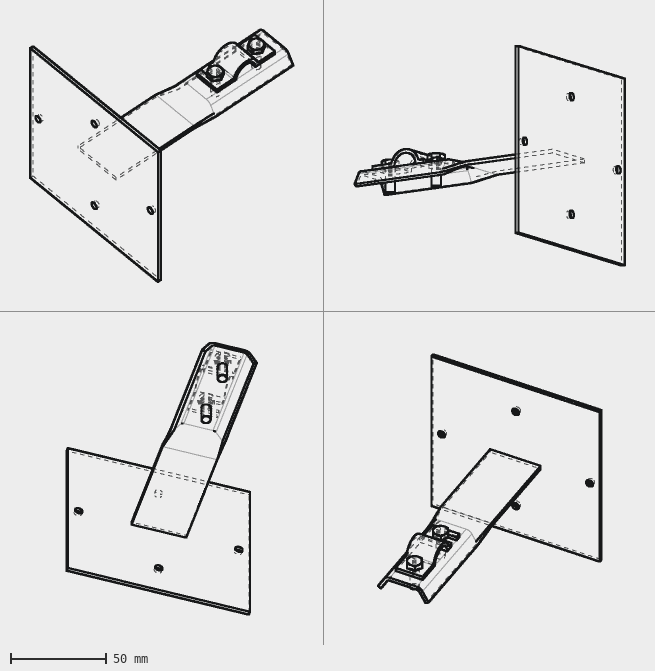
import cadquery as cq
import math

total_length = 127.0
sheet = 2.0
plate_side = 100.0

plate_hole_diameter = 4.0
side_hole_offset = 44.0
upper_hole_offset = 31.5

arm_width = 30.0
straight_length = 55.0
channel_top = 5.1
flat_width = 16.0
bend_angle = 59.5
bend_radius = 4.0

clamp_length = 41.0
clamp_centre_y = 100.0
bolt_spacing = 29.0
arch_inner_radius = 6.7
foot_fillet = 1.0
clamp_hole_diameter = 5.5

bolt_diameter = 5.0
bolt_tip_diameter = 4.6
bolt_bottom = -6.7
washer_face_diameter = 6.7
washer_face_height = 0.4
head_across_flats = 8.0
head_height = 3.0
head_chamfer_angle = 30.0

fuse_tolerance = 0.001

half_sheet = sheet / 2
half_width = arm_width / 2
half_flat = flat_width / 2
transition_start_y = sheet + straight_length
channel_start_y = total_length - straight_length
clamp_top = channel_top + sheet
bolt_places = [clamp_centre_y - bolt_spacing / 2, clamp_centre_y + bolt_spacing / 2]
slot_bolt_y = bolt_places[0]

bend = math.radians(bend_angle)
bend_centre_z = channel_top - bend_radius
bend_inner_radius = bend_radius - sheet
wall_top_x = half_flat + bend_radius * math.sin(bend)
wall_top_z = bend_centre_z + bend_radius * math.cos(bend)
lip_z = wall_top_z - (half_width - wall_top_x) * math.tan(bend)
lip_inner_x = half_width - sheet * math.sin(bend)
lip_inner_z = lip_z - sheet * math.cos(bend)


def bend_point(radius, angle):
    """Point (x, z) on the right-hand bend, at an angle from the vertical."""
    return half_flat + radius * math.sin(angle), bend_centre_z + radius * math.cos(angle)


def mirrored(point):
    return -point[0], point[1]


def make_plate():
    plate = cq.Workplane("XY").box(plate_side, sheet, plate_side).translate((0, half_sheet, 0))
    hole_places = [
        (side_hole_offset, 0),
        (-side_hole_offset, 0),
        (0, upper_hole_offset),
        (0, -upper_hole_offset),
    ]
    holes = (
        cq.Workplane("XZ")
        .pushPoints(hole_places)
        .circle(plate_hole_diameter / 2)
        .extrude(-sheet)
    )
    return plate.cut(holes)


def make_strip():
    strip = cq.Workplane("XY").box(arm_width, straight_length, sheet)
    return strip.translate((0, transition_start_y - straight_length / 2, 0))


def make_channel():
    outer = [bend_point(bend_radius, angle) for angle in (0, bend / 2, bend)]
    inner = [bend_point(bend_inner_radius, angle) for angle in (0, bend / 2, bend)]
    lip_outer = (half_width, lip_z)
    lip_inner = (lip_inner_x, lip_inner_z)
    return (
        cq.Workplane("XZ", origin=(0, channel_start_y, 0))
        .moveTo(*mirrored(outer[0]))
        .lineTo(*outer[0])
        .threePointArc(outer[1], outer[2])
        .lineTo(*lip_outer)
        .lineTo(*lip_inner)
        .lineTo(*inner[2])
        .threePointArc(inner[1], inner[0])
        .lineTo(*mirrored(inner[0]))
        .threePointArc(mirrored(inner[1]), mirrored(inner[2]))
        .lineTo(*mirrored(lip_inner))
        .lineTo(*mirrored(lip_outer))
        .lineTo(*mirrored(outer[2]))
        .threePointArc(mirrored(outer[1]), mirrored(outer[0]))
        .close()
        .extrude(-straight_length)
    )


def channel_curve(radius, end):
    """One smooth edge along the channel section at a bend radius, between end and its mirror."""
    steps = 12
    wall_top = bend_point(radius, bend)
    half = [(half_flat * i / steps, bend_centre_z + radius) for i in range(steps)]
    half += [bend_point(radius, bend * i / steps) for i in range(steps)]
    half += [
        (
            wall_top[0] + (end[0] - wall_top[0]) * i / steps,
            wall_top[1] + (end[1] - wall_top[1]) * i / steps,
        )
        for i in range(steps + 1)
    ]
    outline = [mirrored(point) for point in reversed(half[1:])] + half
    return cq.Edge.makeSpline([cq.Vector(x, channel_start_y, z) for x, z in outline])


def make_transition():
    """Warped sheet that carries the flat strip over into the channel section."""
    split_z = -half_sheet
    split_x = half_width - (split_z - lip_z) / math.tan(bend)
    outer_curve = channel_curve(bend_radius, (split_x, split_z))
    inner_curve = channel_curve(bend_inner_radius, (lip_inner_x, lip_inner_z))

    def strip_edge(z):
        return cq.Edge.makeLine(
            cq.Vector(-half_width, transition_start_y, z),
            cq.Vector(half_width, transition_start_y, z),
        )

    faces = [
        cq.Face.makeRuledSurface(strip_edge(half_sheet), outer_curve),
        cq.Face.makeRuledSurface(strip_edge(-half_sheet), inner_curve),
    ]
    end_edges = [outer_curve, inner_curve]
    start_edges = [strip_edge(half_sheet), strip_edge(-half_sheet)]
    for side in (-1, 1):
        strip_top = cq.Vector(side * half_width, transition_start_y, half_sheet)
        strip_bottom = cq.Vector(side * half_width, transition_start_y, -half_sheet)
        split = cq.Vector(side * split_x, channel_start_y, split_z)
        lip_outer = cq.Vector(side * half_width, channel_start_y, lip_z)
        lip_inner = cq.Vector(side * lip_inner_x, channel_start_y, lip_inner_z)
        strip_side = cq.Edge.makeLine(strip_top, strip_bottom)
        wall_side = cq.Edge.makeLine(split, lip_outer)
        lip = cq.Edge.makeLine(lip_outer, lip_inner)
        faces.append(cq.Face.makeRuledSurface(strip_side, wall_side))
        triangle = cq.Wire.makePolygon([strip_bottom, lip_outer, lip_inner], close=True)
        faces.append(cq.Face.makeFromWires(triangle))
        start_edges.append(strip_side)
        end_edges += [wall_side, lip]
    for edges in (start_edges, end_edges):
        faces.append(cq.Face.makeFromWires(cq.Wire.combine(edges)[0]))
    return cq.Workplane(cq.Solid.makeSolid(cq.Shell.makeShell(faces)))


def make_arm():
    arm = make_strip().union(make_transition(), tol=fuse_tolerance)
    arm = arm.union(make_channel(), tol=fuse_tolerance)
    bolt_holes = (
        cq.Workplane("XY")
        .pushPoints([(0, y) for y in bolt_places])
        .circle(bolt_diameter / 2)
        .extrude(channel_top)
    )
    return arm.cut(bolt_holes)


def make_clamp():
    foot = cq.Workplane("XY").box(flat_width, clamp_length, sheet, centered=(True, True, False))
    profile = cq.Workplane("YZ", origin=(-half_flat, 0, 0))
    arch = profile.circle(arch_inner_radius + sheet).extrude(flat_width)
    tunnel = profile.circle(arch_inner_radius).extrude(flat_width)
    below = (
        cq.Workplane("XY")
        .box(flat_width, clamp_length, clamp_length)
        .translate((0, 0, -clamp_length / 2))
    )
    clamp = foot.union(arch).cut(below)
    crease = cq.selectors.BoxSelector(
        (-half_flat, -clamp_length / 2 + half_sheet, half_sheet),
        (half_flat, clamp_length / 2 - half_sheet, sheet + half_sheet),
    )
    clamp = clamp.edges("|X").edges(crease).fillet(foot_fillet).cut(tunnel)

    clamp = clamp.translate((0, clamp_centre_y, channel_top))
    holes = (
        cq.Workplane("XY", origin=(0, 0, channel_top))
        .pushPoints([(0, y) for y in bolt_places])
        .circle(clamp_hole_diameter / 2)
        .extrude(sheet)
    )
    slot = (
        cq.Workplane("XY", origin=(-half_flat / 2, slot_bolt_y, channel_top))
        .rect(half_flat, clamp_hole_diameter)
        .extrude(sheet)
    )
    return clamp.cut(holes).cut(slot)


def make_bolt(y):
    seat = clamp_top + washer_face_height
    across_corners = head_across_flats / math.cos(math.pi / 6)
    head = cq.Workplane("XY").polygon(6, across_corners).extrude(head_height)
    slope = math.tan(math.radians(head_chamfer_angle))
    cone_height = head_height + head_across_flats / 2 * slope
    cone_radius = cone_height / slope
    cone = (
        cq.Workplane("XZ")
        .polyline([(0, 0), (cone_radius, 0), (0, cone_height)])
        .close()
        .revolve(360, (0, 0), (0, 1))
    )
    head = head.intersect(cone).translate((0, 0, seat))
    washer_face = (
        cq.Workplane("XY", origin=(0, 0, clamp_top))
        .circle(washer_face_diameter / 2)
        .extrude(washer_face_height)
    )
    shank = (
        cq.Workplane("XY", origin=(0, 0, bolt_bottom))
        .circle(bolt_diameter / 2)
        .extrude(clamp_top - bolt_bottom)
        .faces("<Z")
        .chamfer((bolt_diameter - bolt_tip_diameter) / 2)
    )
    return shank.union(washer_face).union(head).translate((0, y, 0))


plate = make_plate()
arm = make_arm()
clamp = make_clamp()
bolts = [make_bolt(y) for y in bolt_places]

result = cq.Compound.makeCompound(
    [
        *plate.solids().vals(),
        *arm.solids().vals(),
        *clamp.solids().vals(),
        *[bolt.solids().val() for bolt in bolts],
    ]
)